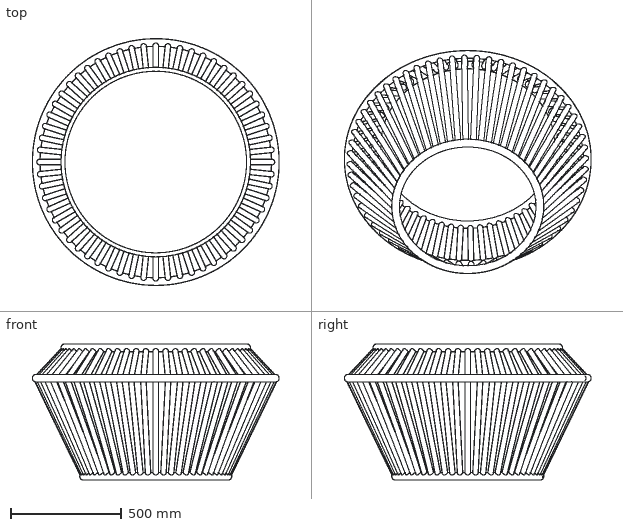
import cadquery as cq
import math

outer_diameter = 1119.0
height = 618.0

ring_section_radius = 18.0
rod_radius = 26.0 / 2
rod_count = 60
rod_pitch_angle = 360 / rod_count

top_ring_radius = 412.0
top_ring_z = height - ring_section_radius
middle_ring_radius = outer_diameter / 2 - ring_section_radius
middle_ring_z = 462.0
bottom_ring_radius = 327.0
bottom_ring_z = ring_section_radius

rod_end_gap = 5.0
upper_rod_inset = 3.0

table_top_radius = top_ring_radius
table_top_thickness = ring_section_radius

origin = cq.Vector(0, 0, 0)
z_axis = cq.Vector(0, 0, 1)


def turn_about_z(shape, angle):
    """Copy of a shape turned about the Z axis."""
    return shape.rotate(origin, z_axis, angle)


def make_ring(centre_radius, centre_z):
    """Horizontal torus around the Z axis, its seam midway between two rods."""
    ring = cq.Solid.makeTorus(centre_radius, ring_section_radius)
    ring = ring.translate(cq.Vector(0, 0, centre_z))
    return turn_about_z(ring, rod_pitch_angle / 2)


def make_top_ring():
    """Three-quarter-round ring: the missing upper inner quarter is the seat for the table top."""
    diagonal = ring_section_radius * math.sqrt(0.5)
    ring = (
        cq.Workplane("XZ")
        .moveTo(top_ring_radius, height)
        .threePointArc(
            (top_ring_radius + diagonal, top_ring_z - diagonal),
            (top_ring_radius - ring_section_radius, top_ring_z),
        )
        .lineTo(top_ring_radius, top_ring_z)
        .close()
        .revolve(360, (0, 0, 0), (0, 1, 0))
    )
    return turn_about_z(ring.val(), rod_pitch_angle / 2)


def make_rods(lower_radius, lower_z, upper_radius, upper_z):
    """Circle of straight rods, each lying in a plane through the Z axis."""
    lower_end = cq.Vector(lower_radius, 0, lower_z)
    span = cq.Vector(upper_radius, 0, upper_z) - lower_end
    direction = span.normalized()
    start = lower_end + direction * rod_end_gap
    length = span.Length - 2 * rod_end_gap
    rod = cq.Solid.makeCylinder(rod_radius, length, start, direction)
    return [turn_about_z(rod, index * rod_pitch_angle) for index in range(rod_count)]


def make_frame():
    """Three rings joined by a lower and an upper circle of rods, as one solid."""
    top_ring = make_top_ring()
    middle_ring = make_ring(middle_ring_radius, middle_ring_z)
    bottom_ring = make_ring(bottom_ring_radius, bottom_ring_z)
    lower_rods = make_rods(
        bottom_ring_radius,
        bottom_ring_z,
        middle_ring_radius,
        middle_ring_z,
    )
    upper_rods = make_rods(
        middle_ring_radius - upper_rod_inset,
        middle_ring_z,
        top_ring_radius - upper_rod_inset,
        top_ring_z,
    )
    frame = top_ring.fuse(middle_ring, bottom_ring, *lower_rods, *upper_rods)
    return cq.Workplane(obj=frame)


def make_table_top():
    """Flat round plate, flush with the top of the frame."""
    return (
        cq.Workplane("XY")
        .workplane(offset=height - table_top_thickness)
        .circle(table_top_radius)
        .extrude(table_top_thickness)
    )


frame = make_frame()
table_top = make_table_top()
result = cq.Compound.makeCompound([*frame.solids().vals(), table_top.val()])